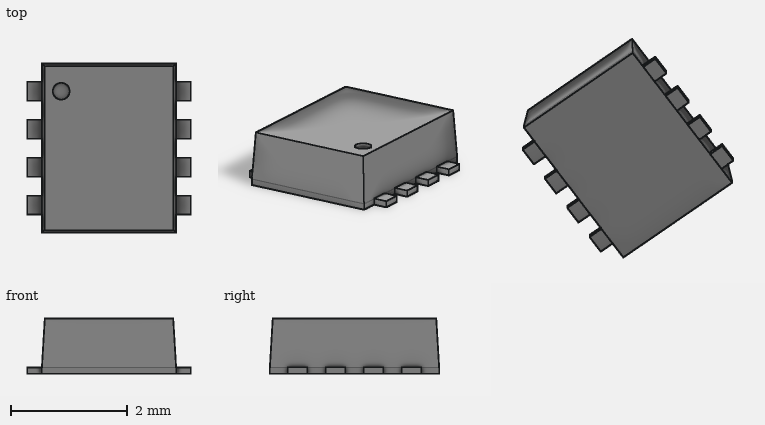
import cadquery as cq

body_width = 2.3
body_length = 2.9
total_height = 0.95
lead_span = 2.8
top_inset = 0.05

leads_per_side = 4
lead_pitch = 0.65
lead_width = 0.328
lead_thickness = 0.113
lead_reach = (lead_span - body_width) / 2

mark_diameter = 0.287
mark_depth = 0.1
mark_x = -0.818

first_lead_y = lead_pitch * (leads_per_side - 1) / 2
lead_rows = [first_lead_y - i * lead_pitch for i in range(leads_per_side)]


def make_housing():
    """Straight-sided base band under a tapered cap, with a round pin-one recess in the top."""
    base = cq.Workplane("XY").box(body_width, body_length, lead_thickness, centered=(True, True, False))
    cap = (
        cq.Workplane("XY")
        .workplane(offset=lead_thickness)
        .rect(body_width, body_length)
        .workplane(offset=total_height - lead_thickness)
        .rect(body_width - 2 * top_inset, body_length - 2 * top_inset)
        .loft(ruled=True)
    )
    mark = (
        cq.Workplane("XY")
        .workplane(offset=total_height - mark_depth)
        .center(mark_x, first_lead_y)
        .circle(mark_diameter / 2)
        .extrude(mark_depth)
    )
    return base.union(cap).cut(mark)


def make_lead(side, y):
    """Flat lead butting against the base band; side is -1 or +1 along X."""
    center_x = side * (body_width + lead_reach) / 2
    return (
        cq.Workplane("XY")
        .center(center_x, y)
        .box(lead_reach, lead_width, lead_thickness, centered=(True, True, False))
    )


housing = make_housing()
leads = [make_lead(side, y) for side in (-1, 1) for y in lead_rows]

result = cq.Compound.makeCompound([housing.val(), *[lead.val() for lead in leads]])